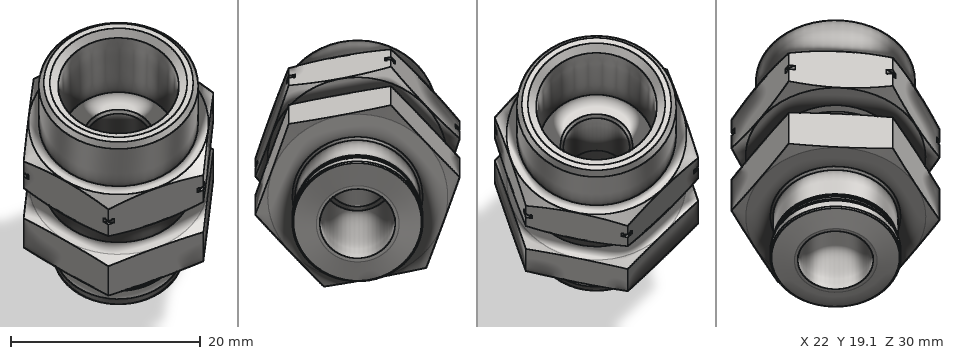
import cadquery as cq
import math

TOTAL_HEIGHT = 30
HEX_FLATS = 19.05
HEX_CORNERS = HEX_FLATS / math.cos(math.pi / 6)
HEX_FACE_DIAMETER = 19.0

UPPER_HEX_TOP = 23.0
UPPER_HEX_HEIGHT = 6
UPPER_HEX_BOTTOM = UPPER_HEX_TOP - UPPER_HEX_HEIGHT
UPPER_HEX_BEVEL = 0.7
NOTCH_WIDTH = 0.6
NOTCH_DEPTH = 0.33
NOTCH_CLEARANCE = 0.3

LOWER_HEX_TOP = 12.7
LOWER_HEX_BOTTOM = 7.2
LOWER_HEX_BEVEL = 0.2

SOCKET_DIAMETER = 16.8
SOCKET_RIM_DIAMETER = 15.75
NECK_DIAMETER = 14.2
NECK_BOTTOM = 15.8
COLLAR_DIAMETER = 15.87
COLLAR_CONE_HEIGHT = (COLLAR_DIAMETER - NECK_DIAMETER) / 2
TAIL_DIAMETER = 13.2
TAIL_BOTTOM = 2.37
TAIL_CHAMFER = 0.15
TAIL_SHOULDER = 0.27
GROOVE_TOP = 3
GROOVE_HEIGHT = 0.2
GROOVE_DEPTH = 0.15

MOUTH_DIAMETER = 14.5
BORE_TOP_DIAMETER = 12.72
BORE_FLOOR_DIAMETER = 12.25
MOUTH_SLOPE = 30
MOUTH_DEPTH = (MOUTH_DIAMETER - BORE_TOP_DIAMETER) / 2 * math.tan(math.radians(MOUTH_SLOPE))
SOCKET_FLOOR = 20.4
PASSAGE_DIAMETER = 7.0
PASSAGE_RIM_DIAMETER = 7.62
PASSAGE_CHAMFER = (PASSAGE_RIM_DIAMETER - PASSAGE_DIAMETER) / 2

SLEEVE_DIAMETER = 8.73
SLEEVE_BORE = 7.95
SLEEVE_TOP = 12.7
FLANGE_DIAMETER = 13.8
FLANGE_TOP = 1.53
FLANGE_BOTTOM = 0.6
FLANGE_ROUNDING = 0.15
FLANGE_FACE_DIAMETER = 8.73
SLEEVE_ROOT = 0.18


def revolved(points):
    """Solid turned about Z from (radius, height) points."""
    return cq.Workplane("XZ").polyline(points).close().revolve(360, (0, 0, 0), (0, 1, 0))


def beveled_hex(bottom, top, bevel):
    """Hexagon with corners along X, beveled conically at both ends."""
    face = HEX_FACE_DIAMETER / 2
    corner = HEX_CORNERS / 2
    prism = cq.Workplane("XY").workplane(offset=bottom).polygon(6, HEX_CORNERS).extrude(top - bottom)
    envelope = revolved([
        (0, bottom),
        (face, bottom),
        (corner, bottom + bevel),
        (corner, top - bevel),
        (face, top),
        (0, top),
    ])
    return prism.intersect(envelope)


def corner_notches():
    """Ring that cuts a notch only where the hexagon corners reach it."""
    outer = HEX_CORNERS / 2 + NOTCH_CLEARANCE
    floor = HEX_CORNERS / 2 - NOTCH_DEPTH
    middle = (UPPER_HEX_TOP + UPPER_HEX_BOTTOM) / 2
    return (
        cq.Workplane("XY")
        .workplane(offset=middle - NOTCH_WIDTH / 2)
        .circle(outer)
        .circle(floor)
        .extrude(NOTCH_WIDTH)
    )


def housing_outside():
    socket = SOCKET_DIAMETER / 2
    rim = SOCKET_RIM_DIAMETER / 2
    neck = NECK_DIAMETER / 2
    collar = COLLAR_DIAMETER / 2
    tail = TAIL_DIAMETER / 2
    groove_bottom = GROOVE_TOP - GROOVE_HEIGHT
    turned = revolved([
        (0, TAIL_BOTTOM),
        (tail - TAIL_CHAMFER, TAIL_BOTTOM),
        (tail, TAIL_BOTTOM + TAIL_CHAMFER),
        (tail, groove_bottom),
        (tail - GROOVE_DEPTH, groove_bottom),
        (tail - GROOVE_DEPTH, GROOVE_TOP),
        (tail, GROOVE_TOP),
        (tail, LOWER_HEX_BOTTOM - TAIL_SHOULDER),
        (tail + TAIL_SHOULDER, LOWER_HEX_BOTTOM),
        (collar, LOWER_HEX_BOTTOM),
        (collar, NECK_BOTTOM - COLLAR_CONE_HEIGHT),
        (neck, NECK_BOTTOM),
        (neck, UPPER_HEX_BOTTOM),
        (socket, UPPER_HEX_BOTTOM),
        (socket, TOTAL_HEIGHT - (socket - rim)),
        (rim, TOTAL_HEIGHT),
        (0, TOTAL_HEIGHT),
    ])
    upper_hex = beveled_hex(UPPER_HEX_BOTTOM, UPPER_HEX_TOP, UPPER_HEX_BEVEL).cut(corner_notches())
    lower_hex = beveled_hex(LOWER_HEX_BOTTOM, LOWER_HEX_TOP, LOWER_HEX_BEVEL)
    return turned.union(upper_hex).union(lower_hex)


def housing_inside():
    """Tapered socket, chamfered passage and the recess that holds the sleeve."""
    passage = PASSAGE_DIAMETER / 2
    sleeve = SLEEVE_DIAMETER / 2
    return revolved([
        (0, TAIL_BOTTOM),
        (sleeve, TAIL_BOTTOM),
        (sleeve, SLEEVE_TOP),
        (passage, SLEEVE_TOP),
        (passage, SOCKET_FLOOR - PASSAGE_CHAMFER),
        (PASSAGE_RIM_DIAMETER / 2, SOCKET_FLOOR),
        (BORE_FLOOR_DIAMETER / 2, SOCKET_FLOOR),
        (BORE_TOP_DIAMETER / 2, TOTAL_HEIGHT - MOUTH_DEPTH),
        (MOUTH_DIAMETER / 2, TOTAL_HEIGHT),
        (0, TOTAL_HEIGHT),
    ])


def make_housing():
    return housing_outside().cut(housing_inside())


def make_release_sleeve():
    bore = SLEEVE_BORE / 2
    sleeve = SLEEVE_DIAMETER / 2
    flange = FLANGE_DIAMETER / 2
    return revolved([
        (bore, 0),
        (FLANGE_FACE_DIAMETER / 2, 0),
        (flange - FLANGE_ROUNDING, FLANGE_BOTTOM - FLANGE_ROUNDING),
        (flange, FLANGE_BOTTOM),
        (flange, FLANGE_TOP),
        (sleeve + SLEEVE_ROOT, FLANGE_TOP),
        (sleeve, FLANGE_TOP + SLEEVE_ROOT),
        (sleeve, SLEEVE_TOP),
        (bore, SLEEVE_TOP),
    ])


housing = make_housing()
release_sleeve = make_release_sleeve()
result = cq.Compound.makeCompound([housing.val(), release_sleeve.val()])